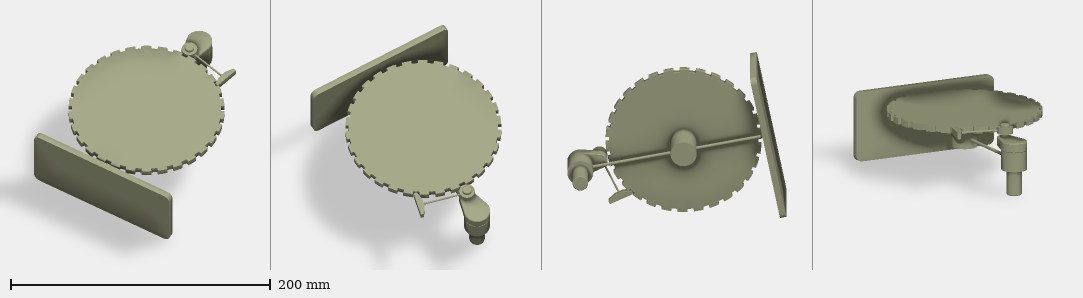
import cadquery as cq
import math

overall_length = 160.0
plate_width = 120.0
plate_height = 55.0
plate_thickness = 5.0
plate_corner_radius = 5.0
plate_front_y = -69.0

barrel_diameter = 20.0
barrel_height = 15.0
frame_rod_diameter = 2.4
shaft_diameter = 12.0

wheel_diameter = 120.0
wheel_thickness = 5.0
hub_height = 10.0
slot_count = 30
slot_width = 5.0
slot_depth = 2.5

crank_throw = 15.0
arm_thickness = 7.5
arm_tip_radius = 6.0
crank_shaft_drop = 20.0
pin_diameter = 7.0
pin_projection = 2.4
edge_chamfer = 0.5

pawl_angle = -14.1
pawl_ring_diameter = 12.0
pawl_rod_diameter = 1.5
pawl_reach = 40.0
pawl_head_width = 20.0
pawl_tip_thickness = 2.5
pawl_head_flat = 6.0
pawl_head_thickness = 5.0

crank_y = overall_length + plate_front_y - barrel_diameter / 2
pin_y = crank_y - crank_throw
barrel_top = barrel_height / 2
barrel_bottom = -barrel_height / 2
wheel_bottom = barrel_top + hub_height
wheel_top = wheel_bottom + wheel_thickness
arm_top = barrel_top + arm_thickness
pin_top = wheel_top + pin_projection


def cylinder(diameter, y, bottom, top):
    """Upright cylinder on the YZ plane."""
    return cq.Workplane("XY", origin=(0, y, bottom)).circle(diameter / 2).extrude(top - bottom)


def make_frame():
    """Upright plate with a rod that carries the wheel barrel and the crank barrel."""
    plate_back_y = plate_front_y + plate_thickness
    frame = (
        cq.Workplane("XZ", origin=(0, plate_back_y, 0))
        .rect(plate_width, plate_height)
        .extrude(plate_thickness)
        .edges("|Y")
        .fillet(plate_corner_radius)
    )
    rod = (
        cq.Workplane("XZ", origin=(0, crank_y, 0))
        .circle(frame_rod_diameter / 2)
        .extrude(crank_y - plate_back_y)
    )
    frame = frame.union(rod)
    for y in (0, crank_y):
        frame = frame.union(cylinder(barrel_diameter, y, barrel_bottom, barrel_top))
    for y in (0, crank_y):
        frame = frame.cut(cylinder(shaft_diameter, y, barrel_bottom, barrel_top))
    return frame


def make_wheel():
    """Slotted disc on a hub, bored for the wheel shaft."""
    wheel = cylinder(wheel_diameter, 0, wheel_bottom, wheel_top)
    slots = (
        cq.Workplane("XY", origin=(0, 0, wheel_bottom))
        .polarArray(wheel_diameter / 2, 90, 360, slot_count)
        .rect(2 * slot_depth, slot_width)
        .extrude(wheel_thickness)
    )
    hub = cylinder(barrel_diameter, 0, barrel_top, wheel_bottom)
    bore = cylinder(shaft_diameter, 0, barrel_top, wheel_top)
    return wheel.cut(slots).union(hub).cut(bore)


def make_wheel_shaft():
    """Plain shaft, flush with the wheel face and the bottom of the barrel."""
    return cylinder(shaft_diameter, 0, barrel_bottom, wheel_top)


def make_crank():
    """Teardrop arm with a shaft below its wide end and a pin above its narrow end."""
    wide_radius = barrel_diameter / 2
    tangent_angle = math.asin((wide_radius - arm_tip_radius) / crank_throw)
    across = math.cos(tangent_angle)
    along = -math.sin(tangent_angle)
    wide_x = wide_radius * across
    wide_y = crank_y + wide_radius * along
    tip_x = arm_tip_radius * across
    tip_y = pin_y + arm_tip_radius * along
    arm = (
        cq.Workplane("XY", origin=(0, 0, barrel_top))
        .moveTo(wide_x, wide_y)
        .threePointArc((0, crank_y + wide_radius), (-wide_x, wide_y))
        .lineTo(-tip_x, tip_y)
        .threePointArc((0, pin_y - arm_tip_radius), (tip_x, tip_y))
        .close()
        .extrude(arm_thickness)
        .faces("<Z or >Z")
        .chamfer(edge_chamfer)
    )
    shaft = cylinder(shaft_diameter, crank_y, barrel_bottom - crank_shaft_drop, barrel_top)
    shaft = shaft.faces("<Z").chamfer(edge_chamfer)
    pin = cylinder(pin_diameter, pin_y, arm_top, pin_top).faces(">Z").chamfer(edge_chamfer)
    return arm.union(shaft).union(pin)


def make_pawl():
    """Ring on the crank pin with a thin rod to a tapered head, built along +X and then swung."""
    half_width = pawl_head_width / 2
    half_flat = pawl_head_flat / 2
    ring = cq.Workplane("XY").circle(pawl_ring_diameter / 2).extrude(wheel_thickness)
    head = (
        cq.Workplane("XY")
        .moveTo(pawl_reach, -half_width)
        .lineTo(pawl_reach, half_width)
        .lineTo(pawl_reach - pawl_tip_thickness, half_width)
        .lineTo(pawl_reach - pawl_head_thickness, half_flat)
        .lineTo(pawl_reach - pawl_head_thickness, -half_flat)
        .lineTo(pawl_reach - pawl_tip_thickness, -half_width)
        .close()
        .extrude(wheel_thickness)
    )
    rod = (
        cq.Workplane("YZ", origin=(0, 0, wheel_thickness / 2))
        .circle(pawl_rod_diameter / 2)
        .extrude(pawl_reach - pawl_tip_thickness)
    )
    bore = cq.Workplane("XY").circle(pin_diameter / 2).extrude(wheel_thickness)
    pawl = ring.union(rod).union(head).cut(bore)
    return pawl.rotate((0, 0, 0), (0, 0, 1), pawl_angle).translate((0, pin_y, wheel_bottom))


frame = make_frame()
wheel = make_wheel()
wheel_shaft = make_wheel_shaft()
crank = make_crank()
pawl = make_pawl()

result = cq.Compound.makeCompound(
    [frame.val(), wheel.val(), wheel_shaft.val(), crank.val(), pawl.val()]
)